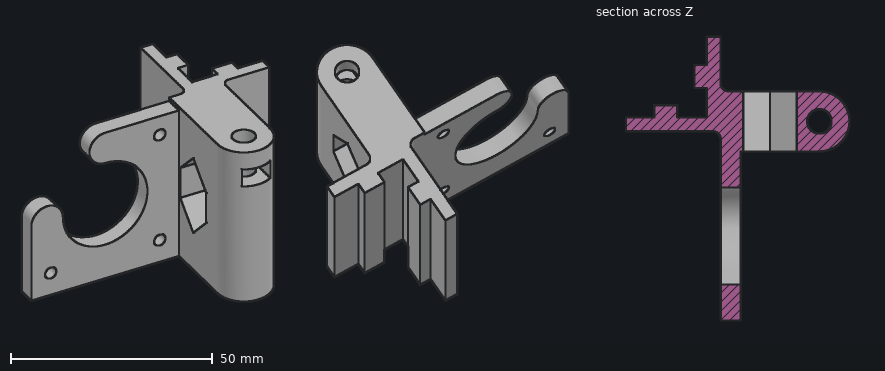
import cadquery as cq
import math


height = 44.0
wall_length = 20.0
wall_thickness = 3.5
rib_width = 5.75
rib_depth = 3.0
rib_start = 7.25
corner_fillet = 2.0

arm_width = 15.0
arm_radius = arm_width / 2
arm_center_y = -1.0
arm_front_y = arm_center_y - arm_radius
arm_back_y = arm_center_y + arm_radius
pin_x = 28.0
pin_diameter = 6.0

window_width = 13.2
window_height = 22.0
window_x = (wall_thickness + pin_x) / 2

slot_width = 8.0
slot_bottom = 34.0
slot_height = 5.0

plate_thickness = 5.0
motor_y = -29.45
motor_z = height / 2
opening_radius = 12.0
tip_radius = 4.5
tip_offset = opening_radius + tip_radius
plate_reach = opening_radius + 2 * tip_radius
screw_spacing = 31.0
screw_diameter = 3.2


def block(x_min, x_max, y_min, y_max):
    """Full-height block between the given X and Y limits."""
    return cq.Workplane("XY").box(
        x_max - x_min, y_max - y_min, height, centered=False
    ).translate((x_min, y_min, 0))


def make_walls():
    """Two walls at a right angle, each with a rib on its inside face."""
    rib_end = rib_start + rib_width
    side_wall = block(-wall_length, wall_thickness, -wall_thickness, 0)
    back_wall = block(0, wall_thickness, -wall_thickness, wall_length)
    side_rib = block(-rib_end, -rib_start, 0, rib_depth)
    back_rib = block(-rib_depth, 0, rib_start, rib_end)
    return side_wall.union(back_wall).union(side_rib).union(back_rib)


def make_arm():
    """Straight arm along X that ends in a half cylinder around the pin."""
    straight = block(wall_thickness, pin_x, arm_front_y, arm_back_y)
    rounded_end = cq.Workplane("XY").center(pin_x, arm_center_y).circle(arm_radius).extrude(height)
    return straight.union(rounded_end)


def make_plate():
    """Upright plate with a round opening that breaks out between two rounded tips."""
    top = motor_z + plate_reach
    front = motor_y - plate_reach
    diagonal = opening_radius * math.sqrt(0.5)
    return (
        cq.Workplane("YZ", origin=(wall_thickness, 0, 0))
        .moveTo(arm_front_y, 0)
        .lineTo(arm_front_y, top)
        .lineTo(motor_y, top)
        .threePointArc(
            (motor_y - tip_radius, motor_z + tip_offset),
            (motor_y, motor_z + opening_radius),
        )
        .threePointArc(
            (motor_y + diagonal, motor_z - diagonal),
            (motor_y - opening_radius, motor_z),
        )
        .threePointArc(
            (motor_y - tip_offset, motor_z + tip_radius),
            (front, motor_z),
        )
        .lineTo(front, 0)
        .close()
        .extrude(plate_thickness)
    )


def make_window():
    """Cutter for the six-sided window, through the arm along Y."""
    half_width = window_width / 2
    half_height = window_height / 2
    half_side = half_height - half_width
    return (
        cq.Workplane("XZ", origin=(window_x, arm_back_y, height / 2))
        .polyline([
            (0, half_height),
            (half_width, half_side),
            (half_width, -half_side),
            (0, -half_height),
            (-half_width, -half_side),
            (-half_width, half_side),
        ])
        .close()
        .extrude(arm_width)
    )


def make_pin_cuts():
    """Cutter for the pin hole and the slot that opens it to the arm's end."""
    pin_plane = cq.Workplane("XY", origin=(pin_x, arm_center_y, 0))
    hole = pin_plane.circle(pin_diameter / 2).extrude(height)
    slot_plane = pin_plane.workplane(offset=slot_bottom)
    slot_end = slot_plane.circle(slot_width / 2).extrude(slot_height)
    slot_mouth = slot_plane.center(arm_radius / 2, 0).rect(arm_radius, slot_width).extrude(slot_height)
    return hole.union(slot_end).union(slot_mouth)


def make_screw_holes():
    """Cutter for three of the four motor screws; the fourth corner is open."""
    half = screw_spacing / 2
    return (
        cq.Workplane("YZ", origin=(wall_thickness, motor_y, motor_z))
        .pushPoints([(half, half), (half, -half), (-half, -half)])
        .circle(screw_diameter / 2)
        .extrude(plate_thickness)
    )


def fillet_inner_corners(body):
    """Round the corners where the walls meet the arm's two sides."""
    for corner_y in (-wall_thickness, arm_back_y):
        corner = cq.selectors.NearestToPointSelector((wall_thickness, corner_y, height / 2))
        body = body.edges("|Z").edges(corner).fillet(corner_fillet)
    return body


body = fillet_inner_corners(make_walls().union(make_arm()).clean())
body = body.union(make_plate())
result = body.cut(make_window()).cut(make_pin_cuts()).cut(make_screw_holes())